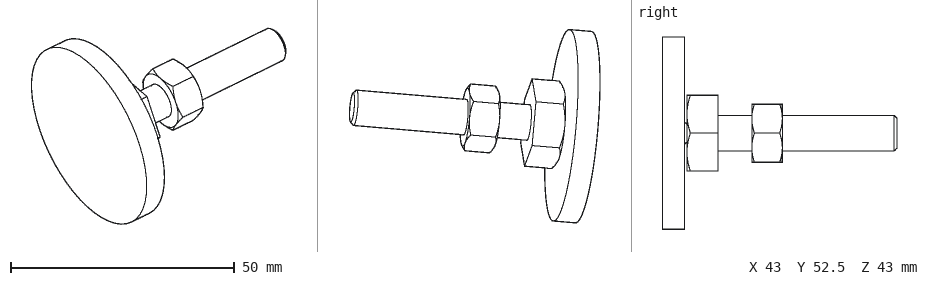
import cadquery as cq
import math

TOTAL_LENGTH = 52.5

FOOT_DIAMETER = 43.0
FOOT_THICKNESS = 5.0

STUD_DIAMETER = 8.0
STUD_TIP_CHAMFER = 0.7

HEAD_GAP = 0.5
HEAD_ACROSS_FLATS = 17.0
HEAD_HEIGHT = 7.0
HEAD_START = FOOT_THICKNESS + HEAD_GAP

NUT_ACROSS_FLATS = 13.0
NUT_HEIGHT = 6.8
NUT_START = 20.0

BALL_DIAMETER = 5.8
BALL_MOUTH_DIAMETER = 4.9
BALL_DEPTH = math.sqrt(BALL_DIAMETER**2 - BALL_MOUTH_DIAMETER**2) / 2
BALL_CENTER = FOOT_THICKNESS - BALL_DEPTH
NECK_DIAMETER = 4.1

HEX_CHAMFER_ANGLE = 30.0


def cylinder(diameter, start, length):
    """Round bar along +Y."""
    return cq.Workplane("XZ", origin=(0, start, 0)).circle(diameter / 2).extrude(-length)


def chamfered_hex(across_flats, start, height, chamfer_far_end):
    """Hexagonal prism along +Y with conically trimmed corners and two corners on X."""
    corner_radius = across_flats / math.sqrt(3)
    face_radius = across_flats / 2
    drop = (corner_radius - face_radius) * math.tan(math.radians(HEX_CHAMFER_ANGLE))
    end = start + height

    prism = (
        cq.Workplane("XZ", origin=(0, start, 0))
        .polygon(6, 2 * corner_radius)
        .extrude(-height)
    )
    profile = cq.Workplane("XY").moveTo(0, start).lineTo(face_radius, start)
    profile = profile.lineTo(corner_radius, start + drop)
    if chamfer_far_end:
        profile = profile.lineTo(corner_radius, end - drop).lineTo(face_radius, end)
    else:
        profile = profile.lineTo(corner_radius, end)
    envelope = profile.lineTo(0, end).close().revolve(360, (0, 0, 0), (0, 1, 0))
    return prism.intersect(envelope)


def make_ball():
    """Ball end of the stud, with a short conical neck from the foot to the hex head."""
    radius = BALL_DIAMETER / 2
    return (
        cq.Workplane("XY")
        .moveTo(0, BALL_CENTER - radius)
        .threePointArc((radius, BALL_CENTER), (BALL_MOUTH_DIAMETER / 2, FOOT_THICKNESS))
        .lineTo(NECK_DIAMETER / 2, HEAD_START)
        .lineTo(0, HEAD_START)
        .close()
        .revolve(360, (0, 0, 0), (0, 1, 0))
    )


def make_foot():
    """Round foot plate with a socket fitting the ball."""
    return cylinder(FOOT_DIAMETER, 0, FOOT_THICKNESS).cut(make_ball())


def make_stud():
    """Stud with its hex head and ball end."""
    shank = cylinder(STUD_DIAMETER, HEAD_START, TOTAL_LENGTH - HEAD_START)
    shank = shank.faces(">Y").chamfer(STUD_TIP_CHAMFER)
    head = chamfered_hex(HEAD_ACROSS_FLATS, HEAD_START, HEAD_HEIGHT, chamfer_far_end=False)
    return shank.union(head).union(make_ball())


def make_nut():
    """Lock nut, chamfered at both ends, with a bore matching the stud."""
    nut = chamfered_hex(NUT_ACROSS_FLATS, NUT_START, NUT_HEIGHT, chamfer_far_end=True)
    return nut.cut(cylinder(STUD_DIAMETER, NUT_START, NUT_HEIGHT))


foot = make_foot()
stud = make_stud()
nut = make_nut()

result = cq.Compound.makeCompound([foot.solids().val(), stud.solids().val(), nut.solids().val()])